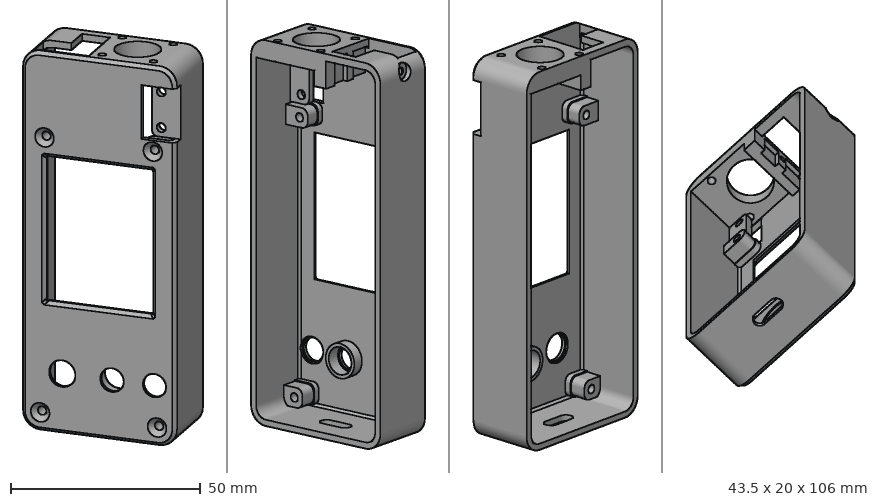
import cadquery as cq

WIDTH = 43.5
DEPTH = 19.95
HEIGHT = 106.0
CORNER_RADIUS = 5.0
FRONT_CHAMFER = 1.0
WALL = 1.75
FRONT_THICKNESS = 1.65
TOP_THICKNESS = 2.0
FLOOR_CHAMFER = 0.7
HALF_WIDTH = WIDTH / 2
INNER_HALF_WIDTH = HALF_WIDTH - WALL
INNER_RADIUS = CORNER_RADIUS - WALL

DISPLAY_WIDTH = 30.0
DISPLAY_BOTTOM = 36.4
DISPLAY_TOP = 76.75
DISPLAY_BEVEL = 1.0
DISPLAY_CORNER_CUT = 0.5

PANEL_HOLE_Z = 16.8
PANEL_LIP = 1.0
RELIEF_MARGIN = 0.5
LEFT_HOLE = (-10.3, 7.4)
BUTTON_HOLE = (3.75, 6.6)
RIGHT_HOLE = (15.75, 6.5)

TUBE_OUTER_DIAMETER = 9.6
TUBE_END_Y = 4.9

SCREW_DIAMETER = 2.4
SCREW_HEAD_DIAMETER = 5.3
HEAD_SINK = (SCREW_HEAD_DIAMETER - SCREW_DIAMETER) / 2
UPPER_SCREW_X = 15.3
UPPER_SCREW_Z = 82.2
UPPER_BOSS_END_Y = 7.5
LOWER_SCREW_X = 16.5
LOWER_SCREW_Z = 5.2
LOWER_BOSS_END_Y = 8.2
BOSS_REACH = 2.75
BOSS_ROUNDING = 1.95
BASE_PAD_REACH = 3.05
BASE_PAD_END_Y = 3.5

BLOCK_LEFT = -3.4
BLOCK_THICKNESS = 5.3
CONNECTOR_X = 6.75
CONNECTOR_Y = 11.1
CONNECTOR_DIAMETER = 12.45
CONNECTOR_SCREW_PITCH = 14.5
CONNECTOR_SCREW_DIAMETER = 2.1

PARTITION_THICKNESS = 3.9
PARTITION_BOTTOM = 96.4
RECESS_DEPTH = 1.3
RECESS_TOP = HEIGHT - TOP_THICKNESS
RIB_FRONT = 8.2
RIB_BACK = 10.9
RECESS_BACK = 16.2

OPENING_LEFT = -19.2
OPENING_STEP_X = -11.3
OPENING_STEP_Y = 9.35
OPENING_BACK = 17.1

SIDE_SCREW_Y = 9.4
SIDE_SCREW_Z = 101.9
SIDE_HEAD_DIAMETER = 4.8
SIDE_HEAD_DEPTH = 1.5
SIDE_SCREW_DIAMETER = 2.0
SIDE_SCREW_GRIP = 3.0

NOTCH_LEFT = 12.0
NOTCH_BOTTOM = 85.3
NOTCH_TOP = 100.35
PLATE_LEFT = 13.65
PLATE_FRONT = 3.55
PLATE_THICKNESS = 2.0
PLATE_CORNER = 1.6
SWITCH_HOLE_X = 16.3
SWITCH_HOLE_PITCH = 10.0
SWITCH_HOLE_DIAMETER = 2.5

PORT_Y = 11.45
PORT_LENGTH = 9.7
PORT_WIDTH = 3.7


def box(x_range, y_range, z_range):
    """Axis-aligned box between the given limits."""
    sizes = [high - low for low, high in (x_range, y_range, z_range)]
    corner = (x_range[0], y_range[0], z_range[0])
    return cq.Workplane("XY").box(*sizes, centered=False).translate(corner)


def y_cylinder(x, z, diameter, y_start, y_end):
    """Cylinder along +Y."""
    return cq.Workplane(
        cq.Solid.makeCylinder(diameter / 2, y_end - y_start, cq.Vector(x, y_start, z), cq.Vector(0, 1, 0))
    )


def x_cylinder(x_start, x_end, diameter):
    """Cylinder along +X on the axis of the side screw."""
    start = cq.Vector(x_start, SIDE_SCREW_Y, SIDE_SCREW_Z)
    return cq.Workplane(cq.Solid.makeCylinder(diameter / 2, x_end - x_start, start, cq.Vector(1, 0, 0)))


def make_shell():
    outer = box((-HALF_WIDTH, HALF_WIDTH), (0, DEPTH), (0, HEIGHT))
    outer = outer.edges("|Y").fillet(CORNER_RADIUS).faces("<Y").chamfer(FRONT_CHAMFER)
    cavity = box(
        (-INNER_HALF_WIDTH, INNER_HALF_WIDTH),
        (FRONT_THICKNESS, DEPTH),
        (WALL, HEIGHT - TOP_THICKNESS),
    )
    cavity = cavity.edges("|Y").fillet(INNER_RADIUS)
    cavity = cavity.faces("<Y").edges("<Z").chamfer(FLOOR_CHAMFER)
    return outer, outer.cut(cavity)


def make_connector_block():
    block = box((BLOCK_LEFT, HALF_WIDTH), (0, DEPTH), (HEIGHT - BLOCK_THICKNESS, HEIGHT))
    partition = box(
        (BLOCK_LEFT, BLOCK_LEFT + PARTITION_THICKNESS), (0, DEPTH), (PARTITION_BOTTOM, HEIGHT)
    )
    block = block.union(partition)
    recess_x = (BLOCK_LEFT, BLOCK_LEFT + RECESS_DEPTH)
    for recess_y in ((FRONT_THICKNESS, RIB_FRONT), (RIB_BACK, RECESS_BACK)):
        block = block.cut(box(recess_x, recess_y, (PARTITION_BOTTOM, RECESS_TOP)))
    return block


def make_wall_block(side, screw_x, screw_z, reach, end_y):
    """Block around a screw, joined to the side wall and rounded at its inner end."""
    x_range = sorted((side * (screw_x - reach), side * HALF_WIDTH))
    block = box(x_range, (0, end_y), (screw_z - reach, screw_z + reach))
    inner_edges = "|Y and <X" if side > 0 else "|Y and >X"
    return block.edges(inner_edges).fillet(BOSS_ROUNDING)


def make_screw_boss(side, screw_x, screw_z, end_y):
    """Screw boss standing on a slightly larger base pad."""
    boss = make_wall_block(side, screw_x, screw_z, BOSS_REACH, end_y)
    return boss.union(make_wall_block(side, screw_x, screw_z, BASE_PAD_REACH, BASE_PAD_END_Y))


def cut_front_screw(body, x, z):
    head = cq.Solid.makeCone(
        SCREW_HEAD_DIAMETER / 2, SCREW_DIAMETER / 2, HEAD_SINK, cq.Vector(x, 0, z), cq.Vector(0, 1, 0)
    )
    return body.cut(y_cylinder(x, z, SCREW_DIAMETER, 0, DEPTH)).cut(cq.Workplane(head))


def cut_display_window(body):
    height = DISPLAY_TOP - DISPLAY_BOTTOM
    middle_z = (DISPLAY_TOP + DISPLAY_BOTTOM) / 2
    half = DISPLAY_WIDTH / 2
    opening = box((-half, half), (0, FRONT_THICKNESS), (DISPLAY_BOTTOM, DISPLAY_TOP))
    bevel = (
        cq.Workplane("XZ", origin=(0, 0, middle_z))
        .rect(DISPLAY_WIDTH + 2 * DISPLAY_BEVEL, height + 2 * DISPLAY_BEVEL)
        .workplane(offset=-DISPLAY_BEVEL)
        .rect(DISPLAY_WIDTH, height)
        .loft(ruled=True)
    )
    bevel = bevel.edges("not(#Y)").chamfer(DISPLAY_CORNER_CUT)
    return body.cut(opening).cut(bevel)


def add_panel_holes(body):
    button_x, _ = BUTTON_HOLE
    body = body.union(
        y_cylinder(button_x, PANEL_HOLE_Z, TUBE_OUTER_DIAMETER, FRONT_THICKNESS, TUBE_END_Y)
    )
    for x, diameter in (LEFT_HOLE, BUTTON_HOLE, RIGHT_HOLE):
        relief_diameter = diameter + 2 * RELIEF_MARGIN
        body = body.cut(y_cylinder(x, PANEL_HOLE_Z, diameter, 0, PANEL_LIP))
        body = body.cut(y_cylinder(x, PANEL_HOLE_Z, relief_diameter, PANEL_LIP, TUBE_END_Y))
    return body


def cut_connector(body):
    base_z = HEIGHT - BLOCK_THICKNESS
    seat = cq.Workplane("XY", origin=(CONNECTOR_X, CONNECTOR_Y, base_z))
    main_hole = seat.circle(CONNECTOR_DIAMETER / 2).extrude(BLOCK_THICKNESS)
    screws = (
        seat.rect(CONNECTOR_SCREW_PITCH, CONNECTOR_SCREW_PITCH, forConstruction=True)
        .vertices()
        .circle(CONNECTOR_SCREW_DIAMETER / 2)
        .extrude(BLOCK_THICKNESS)
    )
    return body.cut(main_hole).cut(screws)


def cut_top_opening(body):
    z_range = (HEIGHT - CORNER_RADIUS, HEIGHT)
    wide_part = box((OPENING_LEFT, BLOCK_LEFT), (FRONT_THICKNESS, OPENING_STEP_Y), z_range)
    back_part = box((OPENING_STEP_X, BLOCK_LEFT), (FRONT_THICKNESS, OPENING_BACK), z_range)
    return body.cut(wide_part).cut(back_part)


def cut_side_screw(body):
    head = x_cylinder(-HALF_WIDTH, -HALF_WIDTH + SIDE_HEAD_DEPTH, SIDE_HEAD_DIAMETER)
    shank = x_cylinder(-HALF_WIDTH, BLOCK_LEFT + SIDE_SCREW_GRIP, SIDE_SCREW_DIAMETER)
    return body.cut(head).cut(shank)


def add_switch_mount(body):
    z_range = (NOTCH_BOTTOM, NOTCH_TOP)
    plate_back = PLATE_FRONT + PLATE_THICKNESS
    body = body.cut(box((NOTCH_LEFT, HALF_WIDTH), (0, PLATE_FRONT), z_range))
    body = body.cut(box((NOTCH_LEFT, PLATE_LEFT), (0, DEPTH), z_range))
    plate = box((PLATE_LEFT, HALF_WIDTH), (PLATE_FRONT, plate_back), z_range)
    body = body.union(plate.edges("|Y and <X").fillet(PLATE_CORNER))
    middle_z = (NOTCH_BOTTOM + NOTCH_TOP) / 2
    for side in (-1, 1):
        hole_z = middle_z + side * SWITCH_HOLE_PITCH / 2
        body = body.cut(y_cylinder(SWITCH_HOLE_X, hole_z, SWITCH_HOLE_DIAMETER, PLATE_FRONT, plate_back))
    return body


def cut_port(body):
    slot = cq.Workplane("XY").center(0, PORT_Y).slot2D(PORT_LENGTH, PORT_WIDTH).extrude(WALL)
    return body.cut(slot)


front_screws = (
    (UPPER_SCREW_X, UPPER_SCREW_Z, UPPER_BOSS_END_Y),
    (LOWER_SCREW_X, LOWER_SCREW_Z, LOWER_BOSS_END_Y),
)

envelope, result = make_shell()
result = result.union(make_connector_block())
for side in (-1, 1):
    for screw_x, screw_z, boss_end_y in front_screws:
        result = result.union(make_screw_boss(side, screw_x, screw_z, boss_end_y))
result = result.intersect(envelope)
for side in (-1, 1):
    for screw_x, screw_z, boss_end_y in front_screws:
        result = cut_front_screw(result, side * screw_x, screw_z)
result = cut_display_window(result)
result = add_panel_holes(result)
result = cut_connector(result)
result = cut_top_opening(result)
result = cut_side_screw(result)
result = add_switch_mount(result)
result = cut_port(result)